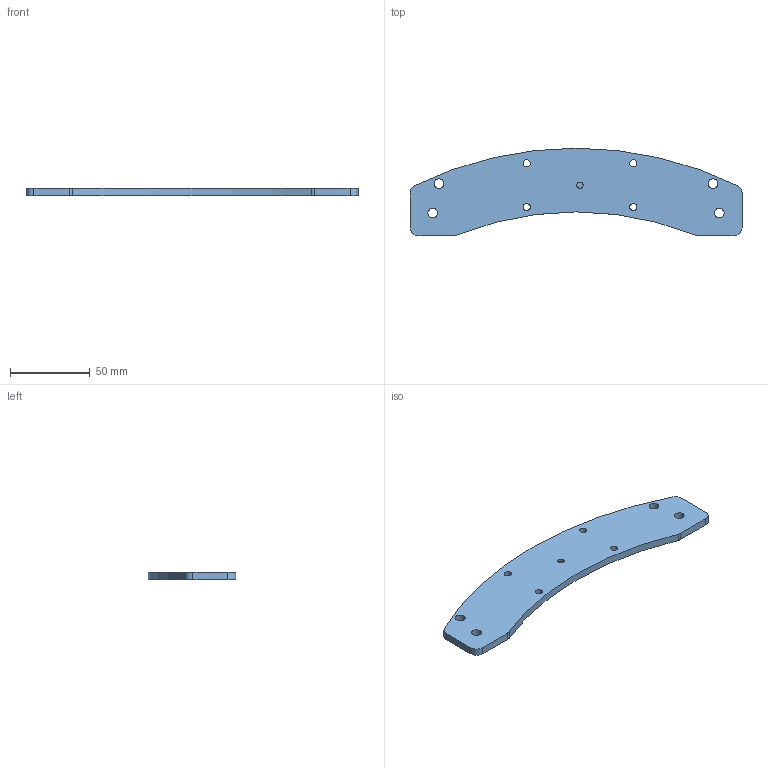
import cadquery as cq
import math

length = 208.5
height = 55.0
thickness = 4.76
band_width = 40.0
outer_radius = 230.0
inner_radius = 200.0
corner_radius = 5.0

half_length = length / 2
inner_top_y = height - band_width
outer_center_y = height - outer_radius
inner_center_y = inner_top_y - inner_radius

end_hole_diameter = 6.0
upper_end_hole_x = 86.0
upper_end_hole_y = 32.75
lower_end_hole_x = 90.0
lower_end_hole_y = 14.25

pattern_x = 2.5
pattern_y = 31.75
pattern_spacing_x = 67.0
pattern_spacing_y = 27.5
pattern_hole_diameter = 4.5
blind_hole_diameter = 4.0
blind_hole_depth = 1.5


def make_plate():
    """Extrude the band outline and round all of its corners."""
    shoulder_y = outer_center_y + math.sqrt(outer_radius**2 - half_length**2)
    inner_half_width = math.sqrt(inner_radius**2 - inner_center_y**2)
    return (
        cq.Workplane("XY")
        .moveTo(-half_length, 0)
        .lineTo(-half_length, shoulder_y)
        .threePointArc((0, height), (half_length, shoulder_y))
        .lineTo(half_length, 0)
        .lineTo(inner_half_width, 0)
        .threePointArc((0, inner_top_y), (-inner_half_width, 0))
        .close()
        .extrude(thickness)
        .edges("|Z")
        .fillet(corner_radius)
    )


def cut_end_holes(plate):
    """Cut an upper and a lower through hole near each end."""
    points = []
    for side in (-1, 1):
        points.append((side * upper_end_hole_x, upper_end_hole_y))
        points.append((side * lower_end_hole_x, lower_end_hole_y))
    holes = cq.Workplane("XY").pushPoints(points).circle(end_hole_diameter / 2).extrude(thickness)
    return plate.cut(holes)


def cut_hole_pattern(plate):
    """Cut the two-by-two pattern of through holes."""
    holes = (
        cq.Workplane("XY")
        .center(pattern_x, pattern_y)
        .rarray(pattern_spacing_x, pattern_spacing_y, 2, 2)
        .circle(pattern_hole_diameter / 2)
        .extrude(thickness)
    )
    return plate.cut(holes)


def cut_blind_hole(plate):
    """Cut the shallow hole in the top face at the center of the pattern."""
    hole = (
        cq.Workplane("XY", origin=(pattern_x, pattern_y, thickness))
        .circle(blind_hole_diameter / 2)
        .extrude(-blind_hole_depth)
    )
    return plate.cut(hole)


plate = make_plate()
plate = cut_end_holes(plate)
plate = cut_hole_pattern(plate)
result = cut_blind_hole(plate)